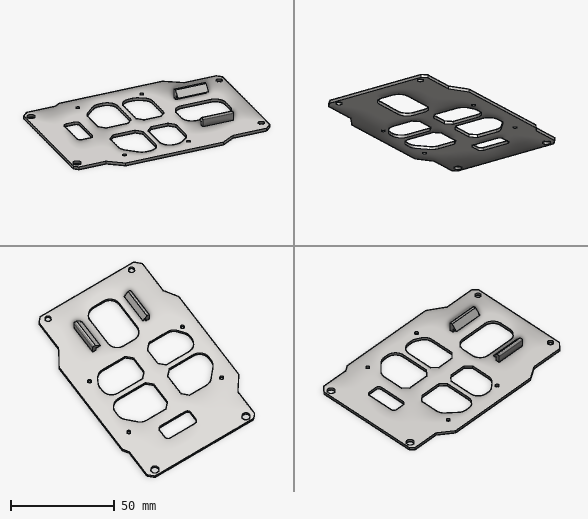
import cadquery as cq

plate_width = 70.0
plate_length = 104.5
plate_thickness = 1.6

bottom_left_x = 2.0
bottom_right_x = 64.3
top_left_x = 5.7
top_right_x = 65.6
bottom_left_chamfer = 2.8
bottom_right_chamfer = 2.0
top_left_chamfer = 2.3
top_right_chamfer = 3.0

top_hole_diameter = 3.0
top_hole_centres = [(10.7, 101.5), (59.4, 101.5)]
bottom_hole_diameter = 4.0
bottom_hole_centres = [(6.8, 3.0), (59.9, 3.0)]
pin_hole_diameter = 1.9
pin_hole_centres = [(x, y) for x in (7.9, 62.1) for y in (27.4, 61.5)]

display_width = 16.9
display_length = 26.1
display_centre = (35.5, 81.6)
display_radius = 5.4
slot_width = 18.1
slot_length = 8.2
slot_centre = (29.9, 17.6)
slot_radius = 1.9

web_left_x = 32.8
web_right_x = 40.9
web_chamfer = 2.9
window_radius = 5.4
upper_bottom_y = 48.3
upper_top_y = 63.2
lower_bottom_y = 28.0
lower_top_y = 45.7

hook_start_y = 74.0
hook_length = 16.3
hook_stem_width = 2.1
hook_underside_z = 3.5
hook_edge_radius = 0.6
left_hook_x = 18.2
left_hook_top_z = 6.6
left_hook_crest_width = 1.6
left_hook_reach = 4.5
right_hook_x = 51.3
right_hook_top_z = 6.0
right_hook_crest_width = 1.5
right_hook_reach = 3.9


def make_plate():
    outline = [
        (bottom_left_x + bottom_left_chamfer, 0),
        (bottom_right_x - bottom_right_chamfer, 0),
        (bottom_right_x, bottom_right_chamfer),
        (bottom_right_x, 16.5),
        (plate_width, 24.2),
        (plate_width, 76.4),
        (top_right_x, 83.4),
        (top_right_x, plate_length - top_right_chamfer),
        (top_right_x - top_right_chamfer, plate_length),
        (top_left_x + top_left_chamfer, plate_length),
        (top_left_x, plate_length - top_left_chamfer),
        (top_left_x, 85.1),
        (0, 76.1),
        (0, 21.2),
        (bottom_left_x, 18.1),
        (bottom_left_x, bottom_left_chamfer),
    ]
    return cq.Workplane("XY").polyline(outline).close().extrude(plate_thickness)


def make_holes(centres, diameter):
    return cq.Workplane("XY").pushPoints(centres).circle(diameter / 2).extrude(plate_thickness)


def make_rounded_rectangle(centre, width, length, radius):
    block = cq.Workplane("XY").center(*centre).rect(width, length).extrude(plate_thickness)
    return block.edges("|Z").fillet(radius)


def make_web_window(web_x, bottom_y, top_y, outer_corners):
    """Window with chamfered corners at the web and rounded outer corners.

    outer_corners holds the sharp outer corners, from the bottom edge to the top edge.
    """
    inward = web_chamfer if outer_corners[0][0] > web_x else -web_chamfer
    web_corners = [
        (web_x + inward, top_y),
        (web_x, top_y - web_chamfer),
        (web_x, bottom_y + web_chamfer),
        (web_x + inward, bottom_y),
    ]
    window = cq.Workplane("XY").polyline(web_corners + outer_corners).close().extrude(plate_thickness)
    corner_edges = cq.Workplane("XY")
    for x, y in outer_corners:
        middle = (x, y, plate_thickness / 2)
        corner_edges = corner_edges.add(window.edges(cq.NearestToPointSelector(middle)).val())
    return cq.Workplane(window.val().fillet(window_radius, corner_edges.vals()))


def make_hook(outer_x, direction, top_z, crest_width, reach):
    """Hook with a sloped lead-in; direction is +1 or -1, the way its barb points along X."""
    profile = [
        (outer_x, plate_thickness),
        (outer_x + direction * hook_stem_width, plate_thickness),
        (outer_x + direction * hook_stem_width, hook_underside_z),
        (outer_x + direction * reach, hook_underside_z),
        (outer_x + direction * crest_width, top_z),
        (outer_x, top_z),
    ]
    hook = (
        cq.Workplane("XZ", origin=(0, hook_start_y, 0))
        .polyline(profile)
        .close()
        .extrude(-hook_length)
    )
    top_outer_edge = cq.NearestToPointSelector((outer_x, hook_start_y + hook_length / 2, top_z))
    return hook.edges(top_outer_edge).fillet(hook_edge_radius)


upper_left_corners = [(10.1, upper_bottom_y), (10.1, 57.0), (13.5, upper_top_y)]
upper_right_corners = [(62.3, upper_bottom_y), (62.3, 56.9), (57.3, upper_top_y)]
lower_left_corners = [(16.3, lower_bottom_y), (8.8, 35.8), (8.8, lower_top_y)]
lower_right_corners = [(55.8, lower_bottom_y), (63.3, 36.3), (63.3, lower_top_y)]

openings = [
    make_holes(top_hole_centres, top_hole_diameter),
    make_holes(bottom_hole_centres, bottom_hole_diameter),
    make_holes(pin_hole_centres, pin_hole_diameter),
    make_rounded_rectangle(display_centre, display_width, display_length, display_radius),
    make_rounded_rectangle(slot_centre, slot_width, slot_length, slot_radius),
    make_web_window(web_left_x, upper_bottom_y, upper_top_y, upper_left_corners),
    make_web_window(web_right_x, upper_bottom_y, upper_top_y, upper_right_corners),
    make_web_window(web_left_x, lower_bottom_y, lower_top_y, lower_left_corners),
    make_web_window(web_right_x, lower_bottom_y, lower_top_y, lower_right_corners),
]

result = make_plate()
for opening in openings:
    result = result.cut(opening)

left_hook = make_hook(left_hook_x, 1, left_hook_top_z, left_hook_crest_width, left_hook_reach)
right_hook = make_hook(right_hook_x, -1, right_hook_top_z, right_hook_crest_width, right_hook_reach)
result = result.union(left_hook).union(right_hook)